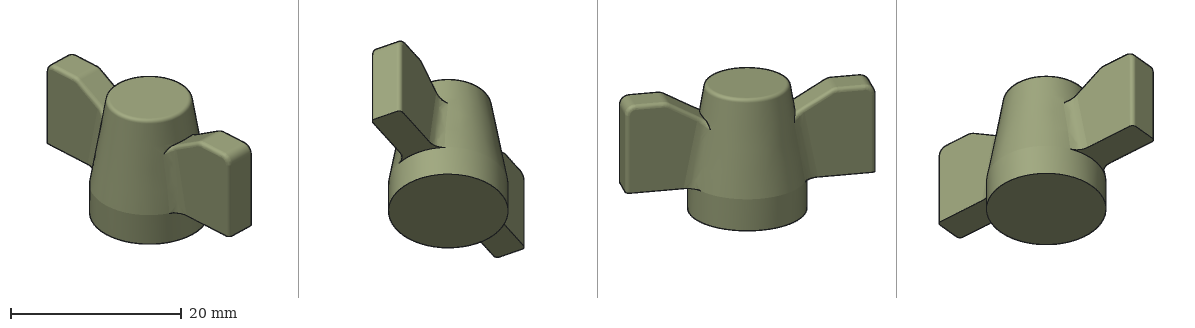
import cadquery as cq
import math

collar_diameter = 14.0
collar_radius = collar_diameter / 2
collar_height = 4.0
total_height = 15.87
cap_top_radius = 5.0
cap_rim_fillet = 0.5

wing_tip_x = 15.0
wing_thickness = 4.02
wing_top_z = 15.0
wing_shoulder_x = 10.02
wing_shoulder_radius = 1.5
wing_slope_angle = 30.0
wing_corner_radius = 1.2
wing_edge_fillet = 0.5
wing_root_flare = 2.0
wing_core_share = 0.6
root_overlap = 0.0015

tolerance = 0.003


def make_cap():
    """Tapered cap with a rounded upper rim."""
    profile = [
        (0, collar_height),
        (collar_radius, collar_height),
        (cap_top_radius, total_height),
        (0, total_height),
    ]
    cap = cq.Workplane("XZ").polyline(profile).close().revolve(360, (0, 0), (0, 1))
    return cap.faces(">Z").edges().fillet(cap_rim_fillet)


def cap_radius(z):
    """Radius of the tapered wall at height z."""
    rise = (z - collar_height) / (total_height - collar_height)
    return collar_radius + (cap_top_radius - collar_radius) * rise


def flared_section(z):
    """Wing cross-section at height z, flaring in arcs that run tangent into the cap wall."""
    half = wing_thickness / 2
    wall_radius = cap_radius(z) - root_overlap
    center_y = half + wing_root_flare
    center_distance = wall_radius + wing_root_flare
    center_x = math.sqrt(center_distance**2 - center_y**2)

    wall_share = wall_radius / center_distance
    wall_x = center_x * wall_share
    wall_y = center_y * wall_share

    middle_angle = (math.atan2(-center_y, -center_x) - math.pi / 2) / 2
    middle_x = center_x + wing_root_flare * math.cos(middle_angle)
    middle_y = center_y + wing_root_flare * math.sin(middle_angle)
    inner_x = wall_x * wing_core_share
    inner_y = wall_y * wing_core_share

    return (
        cq.Workplane("XY", origin=(0, 0, z))
        .moveTo(wing_tip_x, half)
        .lineTo(center_x, half)
        .threePointArc((middle_x, middle_y), (wall_x, wall_y))
        .lineTo(inner_x, inner_y)
        .lineTo(inner_x, -inner_y)
        .lineTo(wall_x, -wall_y)
        .threePointArc((middle_x, -middle_y), (center_x, -half))
        .lineTo(wing_tip_x, -half)
        .close()
        .wires()
        .val()
    )


def wing_side_outline():
    """Prism of the wing's side outline: level top, sloping shoulder and rounded tip corner."""
    slope_drop = wing_shoulder_x * math.tan(math.radians(wing_slope_angle))
    outline = [
        (0, collar_height),
        (wing_tip_x, collar_height),
        (wing_tip_x, wing_top_z),
        (wing_shoulder_x, wing_top_z),
        (0, wing_top_z - slope_drop),
    ]
    prism = cq.Workplane("XZ").polyline(outline).close().extrude(collar_radius, both=True)
    prism = prism.faces(">X").edges(">Z").fillet(wing_corner_radius)
    return prism.faces(">Z").edges("<X").fillet(wing_shoulder_radius)


def is_wing_rim(edge):
    """True for an exposed edge around the tip, top and flare on one side of the wing."""
    start, middle, end = [edge.positionAt(t) for t in (0.0, 0.5, 1.0)]
    stays_on_one_side = start.y * end.y > 0
    above_bottom = middle.z > collar_height + tolerance
    outside_cap = math.hypot(middle.x, middle.y) > cap_radius(middle.z) + tolerance
    at_tip = min(start.x, end.x) > wing_tip_x - tolerance
    rises_along_flare = not at_tip and min(start.z, end.z) < collar_height + tolerance
    return stays_on_one_side and above_bottom and outside_cap and not rises_along_flare


def make_wing():
    """Right-hand wing with its exposed rim rounded."""
    sections = [flared_section(collar_height), flared_section(wing_top_z)]
    flared = cq.Solid.makeLoft(sections, True)
    wing = cq.Workplane(flared).intersect(wing_side_outline())
    rim = [edge for edge in wing.edges().vals() if is_wing_rim(edge)]
    return wing.newObject(rim).fillet(wing_edge_fillet)


wing = make_wing()
collar = cq.Workplane("XY").circle(collar_radius).extrude(collar_height)
result = collar.union(make_cap()).union(wing).union(wing.mirror("YZ"))